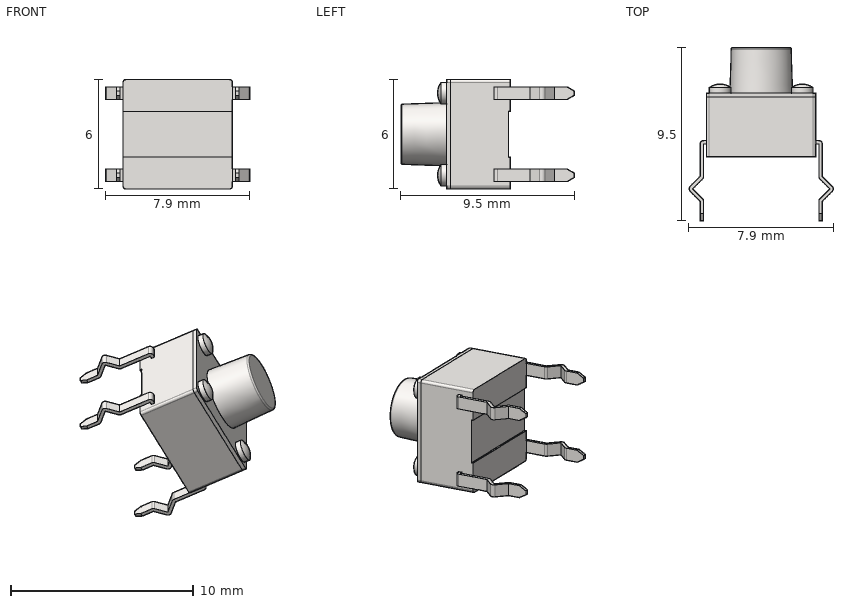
import cadquery as cq
import math


total_length = 9.5
body_side = 6.0
body_corner_radius = 0.15
body_height = 3.5
cover_thickness = 0.22
underside_groove_width = 2.5
underside_groove_depth = 0.1

button_projection = 2.5
button_top_radius = 1.65
button_base_radius = 1.75
button_edge_radius = 0.095

stud_radius = 0.6
stud_height = 0.3
stud_dome_height = 0.2

corner_pitch = 4.5

lead_thickness = 0.2
lead_width = 0.7
lead_stub_height = 0.9
lead_outer_face = 3.35
lead_tip_width = 0.24
lead_tip_length = 0.4
kink_reach = 3.95
kink_depth = 1.75
kink_slope = 45

housing_height = body_height - cover_thickness
button_height = button_projection + cover_thickness
dome_base = body_height + stud_height
lead_end = -(total_length - body_height - button_projection)
lead_inner_face = lead_outer_face - lead_thickness
corner_offset = corner_pitch / 2


def facing_up(y):
    """Workplane at height y: local X along +X, local Y along +Z, normal along -Y."""
    return cq.Workplane(cq.Plane(origin=(0, y, 0), xDir=(1, 0, 0), normal=(0, -1, 0)))


def axial_plane():
    """Workplane for turned profiles: local X along +Z, local Y along +Y."""
    return cq.Workplane(cq.Plane(origin=(0, 0, 0), xDir=(0, 0, 1), normal=(-1, 0, 0)))


def rounded_block(bottom, height):
    """Square block with rounded upright edges, standing on height `bottom`."""
    return (
        facing_up(bottom)
        .rect(body_side, body_side)
        .extrude(-height)
        .edges("|Y")
        .fillet(body_corner_radius)
    )


def make_button():
    """Tapered round button standing on the housing, with a rounded rim at its free end."""
    top = housing_height + button_height
    profile = (
        axial_plane()
        .moveTo(0, housing_height)
        .lineTo(button_base_radius, housing_height)
        .lineTo(button_top_radius, top)
        .lineTo(0, top)
        .close()
    )
    button = profile.revolve(360, (0, 0, 0), (0, 1, 0))
    return button.faces(">Y").edges().fillet(button_edge_radius)


def make_stud(x, z):
    """Round rivet stud standing on the housing, with a shallow spherical head."""
    dome_top = dome_base + stud_dome_height
    dome_radius = (stud_radius**2 + stud_dome_height**2) / (2 * stud_dome_height)
    half_angle = math.asin(stud_radius / dome_radius) / 2
    dome_middle = (
        dome_radius * math.sin(half_angle),
        dome_top - dome_radius * (1 - math.cos(half_angle)),
    )
    profile = (
        axial_plane()
        .moveTo(0, housing_height)
        .lineTo(stud_radius, housing_height)
        .lineTo(stud_radius, dome_base)
        .threePointArc(dome_middle, (0, dome_top))
        .close()
    )
    return profile.revolve(360, (0, 0, 0), (0, 1, 0)).translate((x, 0, z))


def make_projections():
    """Button and corner studs, which pass through the cover."""
    projections = make_button()
    for x in (-corner_offset, corner_offset):
        for z in (-corner_offset, corner_offset):
            projections = projections.add(make_stud(x, z))
    return projections.combine()


def make_housing(projections):
    """Moulded housing with a shallow groove across its underside, one piece with its projections."""
    groove = facing_up(0).rect(body_side, underside_groove_width).extrude(-underside_groove_depth)
    return rounded_block(0, housing_height).cut(groove).union(projections)


def make_cover(projections):
    """Cover plate lying on the housing, with a hole for each projection."""
    return rounded_block(housing_height, cover_thickness).cut(projections)


def lead_strip():
    """Bent strip of the +X leads, as wide as a lead and centred on Z = 0.

    At every bend the inside is a sharp corner and the outside an arc around that corner.
    """
    wall = body_side / 2
    diagonal = lead_thickness * math.sin(math.radians(kink_slope))
    stub_underside = lead_stub_height - lead_thickness
    kink_inner = kink_reach - lead_thickness
    kink_half = kink_inner + 2 * diagonal - lead_outer_face
    upper_corner = -kink_depth + kink_half
    lower_corner = -kink_depth - kink_half
    half_bend = math.radians(kink_slope) / 2
    bend_x = lead_outer_face - lead_thickness * math.cos(half_bend)
    bend_y = lead_thickness * math.sin(half_bend)

    outline = (
        cq.Workplane("XY")
        .moveTo(wall, lead_stub_height)
        .lineTo(lead_inner_face, lead_stub_height)
        .threePointArc(
            (lead_inner_face + diagonal, stub_underside + diagonal),
            (lead_outer_face, stub_underside),
        )
        .lineTo(lead_outer_face, upper_corner)
        .lineTo(kink_inner + diagonal, -kink_depth + diagonal)
        .threePointArc((kink_reach, -kink_depth), (kink_inner + diagonal, -kink_depth - diagonal))
        .lineTo(lead_outer_face, lower_corner)
        .lineTo(lead_outer_face, lead_end)
        .lineTo(lead_inner_face, lead_end)
        .lineTo(lead_inner_face, lower_corner)
        .threePointArc(
            (bend_x, lower_corner + bend_y),
            (lead_outer_face - diagonal, lower_corner + diagonal),
        )
        .lineTo(kink_inner, -kink_depth)
        .lineTo(lead_outer_face - diagonal, upper_corner - diagonal)
        .threePointArc((bend_x, upper_corner - bend_y), (lead_inner_face, upper_corner))
        .lineTo(lead_inner_face, stub_underside)
        .lineTo(wall, stub_underside)
        .close()
    )
    return outline.extrude(lead_width / 2, both=True)


def make_lead():
    """Lead on the +X side, centred on Z = 0, with its lower end tapered in width."""
    taper_start = lead_end + lead_tip_length
    side_shape = (
        cq.Workplane("YZ")
        .polyline([
            (lead_stub_height, -lead_width / 2),
            (lead_stub_height, lead_width / 2),
            (taper_start, lead_width / 2),
            (lead_end, lead_tip_width / 2),
            (lead_end, -lead_tip_width / 2),
            (taper_start, -lead_width / 2),
        ])
        .close()
        .extrude(kink_reach)
    )
    return lead_strip().intersect(side_shape)


def make_leads():
    """Four separate leads, two on each side of the housing."""
    right_lead = make_lead()
    leads = []
    for lead in (right_lead, right_lead.mirror("YZ")):
        for z in (-corner_offset, corner_offset):
            leads.append(lead.translate((0, 0, z)).val())
    return leads


projections = make_projections()
housing = make_housing(projections)
cover = make_cover(projections)
leads = make_leads()

result = cq.Compound.makeCompound([housing.val(), cover.val(), *leads])